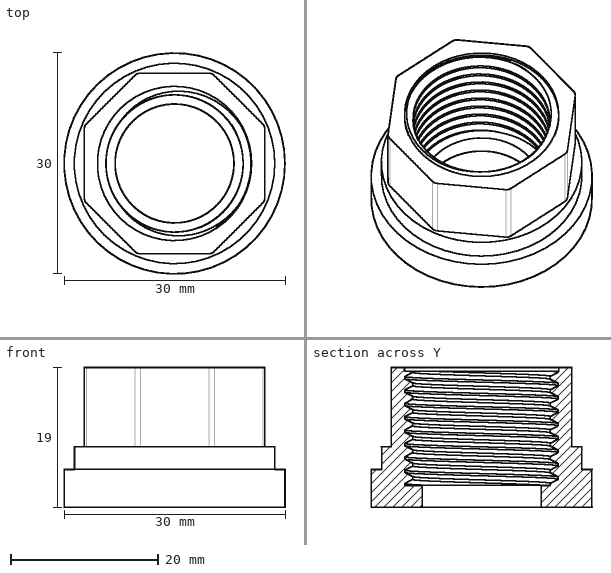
import cadquery as cq
import math

flange_diameter = 30.0
flange_height = 5.15
collar_diameter = 27.2
collar_top = 8.25

total_height = 19.0
across_flats = 24.5
octagon_sides = 8
corner_radius = 1.0

through_diameter = 16.1
minor_diameter = 18.63
recess_diameter = 20.95
major_diameter = 20.75
bore_floor = 3.0
recess_depth = 0.48
recess_floor = total_height - recess_depth

turns_counted = 14
turns_length = 25.4
thread_pitch = turns_length / turns_counted
flank_angle = math.radians(27.5)
root_width = thread_pitch / 6
sleeve_diameter = 22.8
trim_allowance = 3 * thread_pitch
overlap = 0.15


def cylinder(diameter, bottom, top):
    """Cylinder on the Z axis between two heights."""
    return cq.Workplane("XY").workplane(offset=bottom).circle(diameter / 2).extrude(top - bottom)


def octagon():
    """Octagonal prism with flats facing X and Y and rounded vertical corners."""
    half_corner_angle = math.pi / octagon_sides
    across_corners = across_flats / math.cos(half_corner_angle)
    prism = (
        cq.Workplane("XY")
        .workplane(offset=collar_top)
        .transformed(rotate=(0, 0, math.degrees(half_corner_angle)))
        .polygon(octagon_sides, across_corners)
        .extrude(total_height - collar_top)
    )
    return prism.edges("|Z").fillet(corner_radius)


def thread_groove():
    """Helical groove whose centre meets the recess floor on the +X side."""
    turns = math.ceil((recess_floor - bore_floor) / thread_pitch) + 1
    start = recess_floor - turns * thread_pitch
    inner_radius = minor_diameter / 2 - overlap
    outer_radius = major_diameter / 2
    half_root = root_width / 2
    half_mouth = half_root + (outer_radius - inner_radius) * math.tan(flank_angle)
    helix = cq.Wire.makeHelix(thread_pitch, (turns + 1) * thread_pitch, minor_diameter / 2)
    return (
        cq.Workplane("XZ")
        .polyline([
            (inner_radius, -half_mouth),
            (outer_radius, -half_root),
            (outer_radius, half_root),
            (inner_radius, half_mouth),
        ])
        .close()
        .sweep(cq.Workplane(obj=helix), isFrenet=True)
        .translate((0, 0, start))
    )


def threaded_sleeve():
    """Tube with the thread cut in its bore, trimmed flat at both ends."""
    bottom = bore_floor - trim_allowance
    top = recess_floor + trim_allowance
    sleeve = cylinder(sleeve_diameter, bottom, top).cut(cylinder(minor_diameter, bottom, top))
    sleeve = sleeve.cut(thread_groove())
    return sleeve.intersect(cylinder(flange_diameter, bore_floor, recess_floor))


body = cylinder(flange_diameter, 0, flange_height)
body = body.union(cylinder(collar_diameter, flange_height, collar_top))
body = body.union(octagon())

body = body.cut(cylinder(through_diameter, 0, total_height))
body = body.cut(cylinder(sleeve_diameter, bore_floor, recess_floor))
body = body.cut(cylinder(recess_diameter, recess_floor, total_height))
result = body.union(threaded_sleeve())